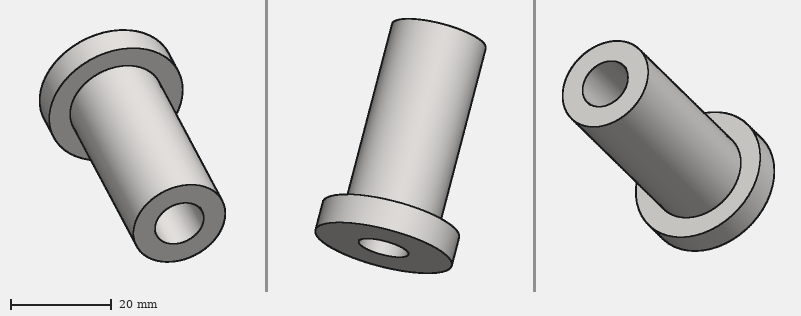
import cadquery as cq

total_length = 45.0
flange_diameter = 28.0
flange_thickness = 6.0
barrel_diameter = 19.25
bore_diameter = 10.2


def cylinder_along_x(diameter, length):
    """Solid cylinder on the X axis, starting at the flange face (X = 0)."""
    return cq.Workplane("YZ").circle(diameter / 2).extrude(length)


flange = cylinder_along_x(flange_diameter, flange_thickness)
barrel = cylinder_along_x(barrel_diameter, total_length)
through_bore = cylinder_along_x(bore_diameter, total_length)

result = flange.union(barrel).cut(through_bore)